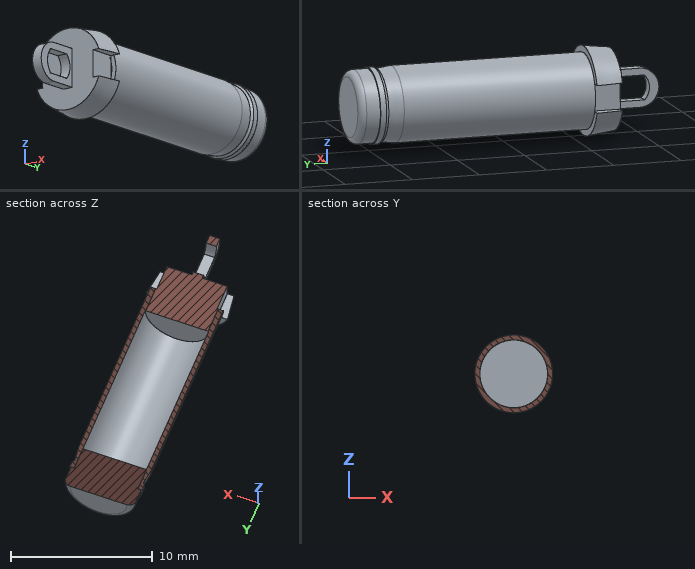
import cadquery as cq
import math

total_length = 23.0

head_length = 2.0
head_front_radius = 3.0
head_back_radius = 3.25
notch_width = 2.0
notch_flat_distance = 2.3
loop_length = 3.5
loop_thickness = 0.8
loop_height = 2.85
eye_radius = 1.26
eye_height = 1.8
eye_distance = 1.52

tube_radius = 2.75
bore_radius = 2.4
groove_radius = 2.62
rim_length = 0.44
groove_step_length = 0.2
groove_taper_length = 1.1

plug_length = 1.52
plug_radius = 2.67
plug_edge_radius = 0.5

loop_tip_y = -total_length / 2
head_front_y = loop_tip_y + loop_length
tube_front_y = head_front_y + head_length
plug_end_y = total_length / 2
tube_back_y = plug_end_y - plug_length
rim_front_y = tube_back_y - rim_length
groove_y = rim_front_y - groove_step_length
taper_start_y = groove_y - groove_taper_length

head_spigot_length = head_length
plug_spigot_length = tube_back_y - taper_start_y


def turned(profile):
    """Revolve a closed (radius, y) profile around the Y axis."""
    return cq.Workplane("XY").polyline(profile).close().revolve(360, (0, 0, 0), (0, 1, 0))


def make_loop():
    """Flat loop with a semicircular end and an eye made of a circle with two flats."""
    end_radius = loop_height / 2
    arc_centre_y = loop_tip_y + end_radius
    plate = (
        cq.Workplane("YZ")
        .moveTo(head_front_y, -end_radius)
        .lineTo(arc_centre_y, -end_radius)
        .threePointArc((loop_tip_y, 0), (arc_centre_y, end_radius))
        .lineTo(head_front_y, end_radius)
        .close()
        .extrude(loop_thickness / 2, both=True)
    )
    eye_y = head_front_y - eye_distance
    half_height = eye_height / 2
    half_flat = math.sqrt(eye_radius**2 - half_height**2)
    eye = (
        cq.Workplane("YZ")
        .moveTo(eye_y - half_flat, -half_height)
        .lineTo(eye_y + half_flat, -half_height)
        .threePointArc((eye_y + eye_radius, 0), (eye_y + half_flat, half_height))
        .lineTo(eye_y - half_flat, half_height)
        .threePointArc((eye_y - eye_radius, 0), (eye_y - half_flat, -half_height))
        .close()
        .extrude(loop_thickness, both=True)
    )
    return plate.cut(eye)


def make_head():
    """Tapered head with a notch on each side, a spigot behind it and the loop in front."""
    spigot_end_y = tube_front_y + head_spigot_length
    head = turned([
        (0, head_front_y),
        (head_front_radius, head_front_y),
        (head_back_radius, tube_front_y),
        (bore_radius, tube_front_y),
        (bore_radius, spigot_end_y),
        (0, spigot_end_y),
    ])
    notch_depth = head_back_radius - notch_flat_distance
    notch_x = notch_flat_distance + notch_depth / 2
    notch_y = head_front_y + head_length / 2
    for side in (-1, 1):
        notch = cq.Workplane("XY").box(notch_depth, head_length, notch_width)
        head = head.cut(notch.translate((side * notch_x, notch_y, 0)))
    return head.union(make_loop())


def make_tube():
    """Tube open at both ends, with a shallow V groove just before its back rim."""
    return turned([
        (bore_radius, tube_front_y),
        (tube_radius, tube_front_y),
        (tube_radius, taper_start_y),
        (groove_radius, groove_y),
        (tube_radius, rim_front_y),
        (tube_radius, tube_back_y),
        (bore_radius, tube_back_y),
    ])


def make_plug():
    """End plug with a rounded outer edge and a spigot that reaches past the groove."""
    spigot_end_y = tube_back_y - plug_spigot_length
    plug = turned([
        (0, spigot_end_y),
        (bore_radius, spigot_end_y),
        (bore_radius, tube_back_y),
        (plug_radius, tube_back_y),
        (plug_radius, plug_end_y),
        (0, plug_end_y),
    ])
    return plug.faces(">Y").edges().fillet(plug_edge_radius)


head = make_head()
tube = make_tube()
plug = make_plug()

result = cq.Compound.makeCompound([head.val(), tube.val(), plug.val()])